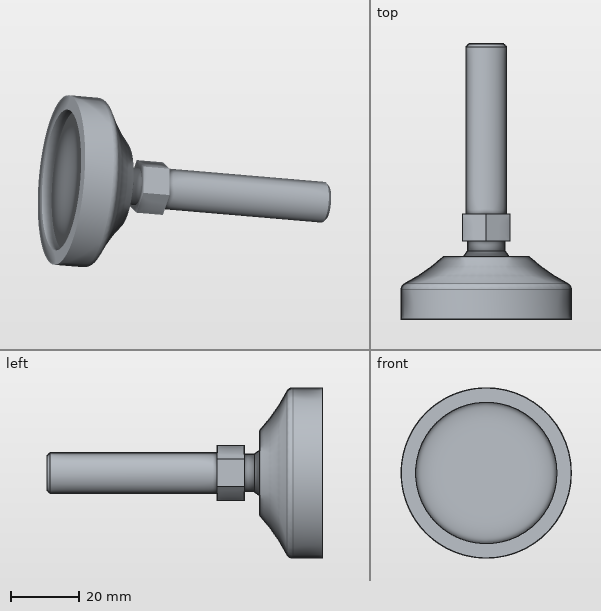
import cadquery as cq
import math


foot_diameter = 50.0
foot_height = 18.5
rim_height = 10.0
top_diameter = 25.0
flank_radius = 50.0
rim_fillet = 2.0
top_edge_fillet = 0.5

recess_diameter = 41.5
recess_depth = 3.0

ball_diameter = 15.0
ball_centre_y = 15.0

neck_diameter = 11.0
hex_sides = 6
hex_across_flats = 14.0
hex_start_y = 23.0
hex_length = 8.0
rod_diameter = 12.0
rod_length = 50.0
rod_chamfer = 1.0

hex_end_y = hex_start_y + hex_length


def plane_at(y):
    """Plane across the axis at height y, with its normal along +Y and its local X along +X."""
    return cq.Workplane(cq.Plane(origin=(0, y, 0), xDir=(1, 0, 0), normal=(0, 1, 0)))


def cylinder(diameter, start_y, end_y):
    return plane_at(start_y).circle(diameter / 2).extrude(end_y - start_y)


def flank_midpoint(start, end):
    """Middle of the flank arc, which sags from the straight chord towards the axis and underside."""
    chord_r = end[0] - start[0]
    chord_y = end[1] - start[1]
    chord = math.hypot(chord_r, chord_y)
    sag = flank_radius - math.sqrt(flank_radius**2 - (chord / 2) ** 2)
    mid_r = (start[0] + end[0]) / 2 - sag * chord_y / chord
    mid_y = (start[1] + end[1]) / 2 + sag * chord_r / chord
    return mid_r, mid_y


def make_foot():
    rim_corner = (foot_diameter / 2, rim_height)
    top_corner = (top_diameter / 2, foot_height)
    foot = (
        cq.Workplane("XY")
        .lineTo(foot_diameter / 2, 0)
        .lineTo(*rim_corner)
        .threePointArc(flank_midpoint(rim_corner, top_corner), top_corner)
        .lineTo(0, foot_height)
        .close()
        .revolve(360, (0, 0, 0), (0, 1, 0))
    )
    foot = foot.faces("%CYLINDER").edges("%CIRCLE").edges(">Y").fillet(rim_fillet)
    foot = foot.faces(">Y").edges("%CIRCLE").fillet(top_edge_fillet)
    return foot.cut(cylinder(recess_diameter, 0, recess_depth))


def make_ball():
    return cq.Workplane("XY").sphere(ball_diameter / 2).translate((0, ball_centre_y, 0))


def make_hexagon():
    """Hexagon with flats facing +X and -X and corners pointing along Z."""
    across_corners = hex_across_flats / math.cos(math.pi / hex_sides)
    hexagon = plane_at(hex_start_y).polygon(hex_sides, across_corners).extrude(hex_length)
    return hexagon.rotate((0, 0, 0), (0, 1, 0), 180 / hex_sides)


def make_rod():
    rod = cylinder(rod_diameter, hex_end_y, hex_end_y + rod_length)
    return rod.faces(">Y").chamfer(rod_chamfer)


neck = cylinder(neck_diameter, ball_centre_y, hex_start_y)
result = make_foot().union(make_ball()).union(neck).union(make_hexagon()).union(make_rod())